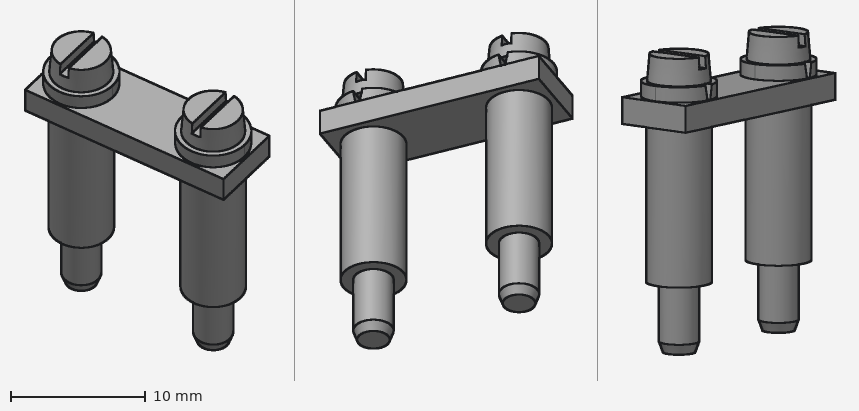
import cadquery as cq

plate_length = 17.9
plate_width = 6.0
plate_thickness = 2.02
plate_top = 19.3
plate_bottom = plate_top - plate_thickness

screw_height = 22.5
screw_pitch = 11.9
screw_positions = [-screw_pitch / 2, screw_pitch / 2]
shank_radius = 1.5
tip_radius = 1.22
tip_length = 0.8
head_base_radius = 2.38
head_top_radius = 2.2
slot_width = 0.76
slot_depth = 0.9

washer_radius = 2.84
washer_thickness = 1.15
washer_top = plate_top + washer_thickness
split_top_width = 0.76
split_bottom_width = 0.32

sleeve_radius = 2.45
sleeve_length = 12.0
sleeve_bottom = plate_bottom - sleeve_length


def make_plate():
    """Flat bar with a close-fitting hole for each screw shank."""
    base = cq.Workplane("XY").workplane(offset=plate_bottom)
    bar = base.rect(plate_length, plate_width).extrude(plate_thickness)
    hole_centers = [(x, 0) for x in screw_positions]
    holes = base.pushPoints(hole_centers).circle(shank_radius).extrude(plate_thickness)
    return bar.cut(holes)


def make_ring(x, bottom, outer_radius, height):
    """Upright tube around a screw shank, used for washers and sleeves."""
    return (
        cq.Workplane("XY", origin=(x, 0, bottom))
        .circle(outer_radius)
        .circle(shank_radius)
        .extrude(height)
    )


def make_washer(x):
    """Lock washer with a split on its +Y side that narrows downward."""
    ring = make_ring(x, plate_top, washer_radius, washer_thickness)
    split = (
        cq.Workplane("XZ", origin=(x, 0, 0))
        .polyline([
            (-split_bottom_width / 2, plate_top),
            (split_bottom_width / 2, plate_top),
            (split_top_width / 2, washer_top),
            (-split_top_width / 2, washer_top),
        ])
        .close()
        .extrude(-washer_radius)
    )
    return ring.cut(split)


def make_sleeve(x):
    return make_ring(x, sleeve_bottom, sleeve_radius, sleeve_length)


def make_screw(x):
    """Screw with a tapered tip, a plain shank and a tapered slotted head."""
    body = (
        cq.Workplane("XZ")
        .polyline([
            (0, 0),
            (tip_radius, 0),
            (shank_radius, tip_length),
            (shank_radius, washer_top),
            (head_base_radius, washer_top),
            (head_top_radius, screw_height),
            (0, screw_height),
        ])
        .close()
        .revolve(360, (0, 0, 0), (0, 1, 0))
    )
    slot = (
        cq.Workplane("XY")
        .workplane(offset=screw_height - slot_depth)
        .rect(slot_width, 2 * head_base_radius)
        .extrude(slot_depth)
    )
    return body.cut(slot).translate((x, 0, 0))


plate = make_plate()
washers = [make_washer(x) for x in screw_positions]
sleeves = [make_sleeve(x) for x in screw_positions]
screws = [make_screw(x) for x in screw_positions]

result = cq.Compound.makeCompound(
    [plate.val()] + [body.val() for body in washers + sleeves + screws]
)